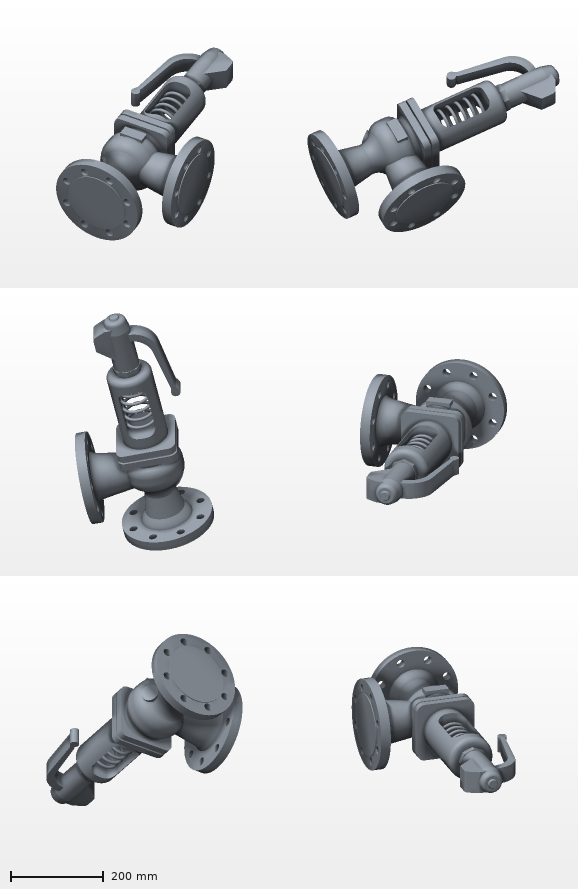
import cadquery as cq
import math

FACE_DISTANCE = 155.0

FLANGE_RADIUS = 100.0
FLANGE_THICKNESS = 22.0
RAISED_FACE_RADIUS = 69.0
RAISED_FACE_HEIGHT = 2.0
BOLT_CIRCLE_RADIUS = 80.0
BOLT_HOLE_DIAMETER = 18.0
BOLT_COUNT = 8
FLANGE_FRONT = FACE_DISTANCE - RAISED_FACE_HEIGHT
FLANGE_BACK = FLANGE_FRONT - FLANGE_THICKNESS
FLARE_END_RADIUS = 56.5
FLARE_BULGE = 1.2

INLET_THROAT_DISTANCE = 62.0
INLET_THROAT_RADIUS = 34.3
INLET_FLARE_DISTANCE = 111.0
INLET_FLARE_RADIUS = 43.5

OUTLET_ROOT_RADIUS = 32.0
OUTLET_FLARE_DISTANCE = 113.5
OUTLET_FLARE_RADIUS = 49.5

GLOBE_RADIUS = 66.5
GLOBE_BAND_TOP = 12.0
GLOBE_BAND_BOTTOM = -4.0
SHOULDER_RADIUS = 53.0
SHOULDER_HEIGHT = 34.0
COLLAR_RADIUS = 57.0
NECK_RADIUS = 52.0
NECK_TOP = 42.0
NECK_BOTTOM = 39.0
GLOBE_LOWER_RADIUS = 50.0
GLOBE_LOWER_END = -32.0

CLAMP_WIDTH = 130.0
CLAMP_CORNER_RADIUS = 17.0
CLAMP_THICKNESS = 16.0
CLAMP_BOTTOM = 47.0
GASKET_RADIUS = 56.0
GASKET_THICKNESS = 4.0
CLAMP_TOP = CLAMP_BOTTOM + 2 * CLAMP_THICKNESS + GASKET_THICKNESS

BONNET_RADIUS = 50.0
BONNET_TOP = 259.5
BONNET_EDGE_RADIUS = 12.0
WINDOW_WIDTH = 62.5
WINDOW_LENGTH = 119.0
WINDOW_CENTER = 170.0
WINDOW_CORNER_RADIUS = 18.0
RING_COUNT = 5
RING_PITCH = 21.0
RING_RADIUS = 32.0
RING_WIRE_RADIUS = 3.5

WASHER_RADIUS = 29.0
NUT_BOTTOM = 262.5
NUT_TOP = 275.0
NUT_DIAMETER = 63.5
NUT_SIDES = 8
CAP_RADIUS = 28.5
CAP_TAPER_START = 372.0
CAP_DOME_START = 392.5
CAP_DOME_RADIUS = 24.0
CAP_DOME_TOP = 399.5
CAP_DOME_TOP_RADIUS = 17.5
CAP_DOME_BULGE = 1.3
TIP_BASE_RADIUS = 11.0
TIP_TOP_RADIUS = 9.0
VALVE_TOP = 403.5

LEVER_WIDTH = 36.0
LEVER_ROOT_X = -10.0
LEVER_ROOT_TOP = 362.5
LEVER_ROOT_BOTTOM = 345.0
LEVER_BEND_X = -25.0
LEVER_OUTER_BEND_MIDDLE = (-62.5, 347.0)
LEVER_OUTER_BEND_END = (-79.6, 312.4)
LEVER_INNER_BEND_MIDDLE = (-54.0, 330.0)
LEVER_INNER_BEND_END = (-65.0, 309.5)
LEVER_OUTER_WRIST = (-93.3, 207.5)
LEVER_INNER_WRIST = (-83.0, 205.0)
LEVER_KNOB_RADIUS = 10.0
LEVER_KNOB_X = -90.86
LEVER_KNOB_Y = 192.5
KNOB_FLARE_ANGLE = math.radians(138.0)
KNOB_FLARE_END = (
    LEVER_KNOB_X + LEVER_KNOB_RADIUS * math.cos(KNOB_FLARE_ANGLE),
    LEVER_KNOB_Y + LEVER_KNOB_RADIUS * math.sin(KNOB_FLARE_ANGLE),
)

HOOD_WIDTH = 49.0
HOOD_TOP = 385.5
HOOD_SHOULDER_X = 25.0
HOOD_BROW_X = 50.5
HOOD_BROW_Y = 373.0
HOOD_FRONT_X = 53.2
HOOD_FRONT_TOP = 366.5
HOOD_FRONT_BOTTOM = 338.0
HOOD_HEEL_X = 14.0
HOOD_BOTTOM = 304.5

PLATE_LENGTH = 53.0
PLATE_WIDTH = 24.0
PLATE_CENTER_Y = 13.75
PLATE_TOP = 70.5
BOSS_RADIUS = 20.0
BOSS_FACE_X = -47.0
BOSS_FACE_Y = -41.0
BOSS_TILT = 41.0
BOSS_LENGTH = 45.0


def disc(radius, bottom, top):
    """Round disc about the Y axis between two heights."""
    return cq.Workplane("XZ", origin=(0, bottom, 0)).circle(radius).extrude(bottom - top)


def arc_middle(start, end, bulge):
    """Point that bows the chord start-end by bulge, to the left of its direction."""
    dx = end[0] - start[0]
    dy = end[1] - start[1]
    chord = math.hypot(dx, dy)
    return (
        (start[0] + end[0]) / 2 - dy / chord * bulge,
        (start[1] + end[1]) / 2 + dx / chord * bulge,
    )


def blend_bulge(start, end):
    """Bulge of the arc from start to end that runs parallel to the Y axis at one of its ends."""
    step = abs(end[0] - start[0])
    chord = math.dist(start, end)
    radius = chord**2 / (2 * step)
    return radius - math.sqrt(radius**2 - chord**2 / 4)


def pipe_flange():
    """Flange about the Z axis whose sealing face lies at FACE_DISTANCE."""
    plate = cq.Workplane("XY").workplane(offset=FLANGE_BACK).circle(FLANGE_RADIUS).extrude(FLANGE_THICKNESS)
    face = cq.Workplane("XY").workplane(offset=FLANGE_BACK).circle(RAISED_FACE_RADIUS)
    face = face.extrude(FLANGE_THICKNESS + RAISED_FACE_HEIGHT)
    first_angle = 180.0 / BOLT_COUNT
    holes = (
        cq.Workplane("XY")
        .workplane(offset=FLANGE_BACK)
        .polarArray(BOLT_CIRCLE_RADIUS, first_angle, 360, BOLT_COUNT)
        .circle(BOLT_HOLE_DIAMETER / 2)
        .extrude(FLANGE_THICKNESS + RAISED_FACE_HEIGHT)
    )
    return plate.union(face).cut(holes)


def globe_and_inlet():
    """Globe with its collar and the flared inlet neck, turned about Y."""
    collar = (COLLAR_RADIUS, CLAMP_BOTTOM)
    neck_top = (NECK_RADIUS, NECK_TOP)
    neck_bottom = (NECK_RADIUS, NECK_BOTTOM)
    shoulder = (SHOULDER_RADIUS, SHOULDER_HEIGHT)
    band_top = (GLOBE_RADIUS, GLOBE_BAND_TOP)
    band_bottom = (GLOBE_RADIUS, GLOBE_BAND_BOTTOM)
    lower = (GLOBE_LOWER_RADIUS, GLOBE_LOWER_END)
    throat = (INLET_THROAT_RADIUS, -INLET_THROAT_DISTANCE)
    flare = (INLET_FLARE_RADIUS, -INLET_FLARE_DISTANCE)
    flare_end = (FLARE_END_RADIUS, -FLANGE_BACK)
    profile = (
        cq.Workplane("XY")
        .moveTo(0, CLAMP_BOTTOM)
        .lineTo(*collar)
        .threePointArc(arc_middle(collar, neck_top, -blend_bulge(collar, neck_top)), neck_top)
        .lineTo(*neck_bottom)
        .threePointArc(arc_middle(neck_bottom, shoulder, -blend_bulge(neck_bottom, shoulder)), shoulder)
        .threePointArc(arc_middle(shoulder, band_top, blend_bulge(shoulder, band_top)), band_top)
        .lineTo(*band_bottom)
        .threePointArc(arc_middle(band_bottom, lower, blend_bulge(band_bottom, lower)), lower)
        .threePointArc(arc_middle(lower, throat, -blend_bulge(lower, throat)), throat)
        .lineTo(*flare)
        .threePointArc(arc_middle(flare, flare_end, FLARE_BULGE), flare_end)
        .lineTo(0, -FLANGE_BACK)
        .close()
    )
    return profile.revolve(360, (0, 0, 0), (0, 1, 0))


def outlet():
    """Conical outlet neck, widening into its flange, turned about X."""
    flare = (OUTLET_FLARE_DISTANCE, OUTLET_FLARE_RADIUS)
    flare_end = (FLANGE_BACK, FLARE_END_RADIUS)
    neck = (
        cq.Workplane("XY")
        .lineTo(0, OUTLET_ROOT_RADIUS)
        .lineTo(*flare)
        .threePointArc(arc_middle(flare, flare_end, -FLARE_BULGE), flare_end)
        .lineTo(FLANGE_BACK, 0)
        .close()
        .revolve(360, (0, 0, 0), (1, 0, 0))
    )
    return neck.union(pipe_flange().rotate((0, 0, 0), (0, 1, 0), 90))


def clamp_flanges():
    """Two square flanges with rounded corners, held apart by the gasket."""
    clamps = disc(GASKET_RADIUS, CLAMP_BOTTOM, CLAMP_TOP)
    for bottom in (CLAMP_BOTTOM, CLAMP_TOP - CLAMP_THICKNESS):
        square = cq.Workplane("XZ", origin=(0, bottom, 0)).rect(CLAMP_WIDTH, CLAMP_WIDTH)
        square = square.extrude(-CLAMP_THICKNESS).edges("|Y").fillet(CLAMP_CORNER_RADIUS)
        clamps = clamps.union(square)
    return clamps


def bonnet():
    """Bonnet with a window right through it, bridged by the spring rings."""
    body = disc(BONNET_RADIUS, CLAMP_TOP, BONNET_TOP).faces(">Y").edges().fillet(BONNET_EDGE_RADIUS)
    window = (
        cq.Workplane("XY")
        .center(0, WINDOW_CENTER)
        .rect(WINDOW_WIDTH, WINDOW_LENGTH)
        .extrude(BONNET_RADIUS, both=True)
        .edges("|Z")
        .fillet(WINDOW_CORNER_RADIUS)
    )
    body = body.cut(window)
    for index in range(RING_COUNT):
        height = WINDOW_CENTER + (index - (RING_COUNT - 1) / 2) * RING_PITCH
        ring = cq.Solid.makeTorus(RING_RADIUS, RING_WIRE_RADIUS, cq.Vector(0, height, 0), cq.Vector(0, 1, 0))
        body = body.union(cq.Workplane(obj=ring))
    return body


def cap():
    """Tapered and domed cap with its octagonal nut and washer."""
    dome_start = (CAP_DOME_RADIUS, CAP_DOME_START)
    dome_end = (CAP_DOME_TOP_RADIUS, CAP_DOME_TOP)
    turned = (
        cq.Workplane("XY")
        .moveTo(0, NUT_BOTTOM)
        .lineTo(CAP_RADIUS, NUT_BOTTOM)
        .lineTo(CAP_RADIUS, CAP_TAPER_START)
        .lineTo(*dome_start)
        .threePointArc(arc_middle(dome_start, dome_end, -CAP_DOME_BULGE), dome_end)
        .lineTo(TIP_BASE_RADIUS, CAP_DOME_TOP)
        .lineTo(TIP_TOP_RADIUS, VALVE_TOP)
        .lineTo(0, VALVE_TOP)
        .close()
        .revolve(360, (0, 0, 0), (0, 1, 0))
    )
    nut = cq.Workplane("XZ", origin=(0, NUT_BOTTOM, 0)).polygon(NUT_SIDES, NUT_DIAMETER)
    nut = nut.extrude(NUT_BOTTOM - NUT_TOP)
    return turned.union(nut).union(disc(WASHER_RADIUS, BONNET_TOP, NUT_BOTTOM))


def hood():
    """Flat-sided hood over the lever pivot; its inner edge is buried on the cap axis."""
    outline = (
        cq.Workplane("XY")
        .moveTo(0, HOOD_TOP)
        .lineTo(HOOD_SHOULDER_X, HOOD_TOP)
        .lineTo(HOOD_BROW_X, HOOD_BROW_Y)
        .lineTo(HOOD_FRONT_X, HOOD_FRONT_TOP)
        .lineTo(HOOD_FRONT_X, HOOD_FRONT_BOTTOM)
        .lineTo(HOOD_HEEL_X, HOOD_BOTTOM)
        .lineTo(0, HOOD_BOTTOM)
        .close()
    )
    return outline.extrude(HOOD_WIDTH / 2, both=True)


def lever():
    """Bent lever arm that leaves the cap sideways and ends in a round knob."""
    arm = (
        cq.Workplane("XY")
        .moveTo(LEVER_ROOT_X, LEVER_ROOT_TOP)
        .lineTo(LEVER_BEND_X, LEVER_ROOT_TOP)
        .threePointArc(LEVER_OUTER_BEND_MIDDLE, LEVER_OUTER_BEND_END)
        .lineTo(*LEVER_OUTER_WRIST)
        .lineTo(*KNOB_FLARE_END)
        .lineTo(LEVER_KNOB_X, LEVER_KNOB_Y)
        .lineTo(*LEVER_INNER_WRIST)
        .lineTo(*LEVER_INNER_BEND_END)
        .threePointArc(LEVER_INNER_BEND_MIDDLE, (LEVER_BEND_X, LEVER_ROOT_BOTTOM))
        .lineTo(LEVER_ROOT_X, LEVER_ROOT_BOTTOM)
        .close()
        .extrude(LEVER_WIDTH / 2, both=True)
    )
    knob = cq.Workplane("XY").center(LEVER_KNOB_X, LEVER_KNOB_Y).circle(LEVER_KNOB_RADIUS)
    return arm.union(knob.extrude(LEVER_WIDTH / 2, both=True))


def name_plate():
    """Raised rectangular plate on the top of the globe."""
    plate = cq.Workplane("XY").center(0, PLATE_CENTER_Y).rect(PLATE_LENGTH, PLATE_WIDTH)
    return plate.extrude(PLATE_TOP)


def drain_boss():
    """Round boss slanting out of the globe on the side opposite the outlet."""
    tilt = math.radians(BOSS_TILT)
    outward = (-math.cos(tilt), -math.sin(tilt), 0)
    face = cq.Plane(origin=(BOSS_FACE_X, BOSS_FACE_Y, 0), xDir=(0, 0, 1), normal=outward)
    return cq.Workplane(face).circle(BOSS_RADIUS).extrude(-BOSS_LENGTH)


result = globe_and_inlet()
result = result.union(pipe_flange().rotate((0, 0, 0), (1, 0, 0), 90))
for feature in (outlet, clamp_flanges, bonnet, cap, hood, lever, name_plate, drain_boss):
    result = result.union(feature())